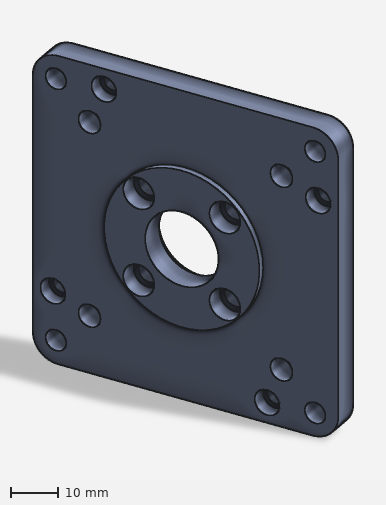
import cadquery as cq

plate_side = 75.0
plate_thickness = 6.4
corner_radius = 6.3

boss_diameter = 38.1
boss_height = 1.6
bore_diameter = 18.0
back_recess_diameter = 20.5
back_recess_depth = 2.0

corner_hole_offset = 31.8
corner_hole_diameter = 5.0
inner_hole_offset = 23.55
inner_hole_diameter = 5.4

boss_hole_offset = 10.6
boss_hole_diameter = 5.0
boss_counterbore_diameter = 7.6
boss_counterbore_depth = 4.35

edge_hole_along = 20.0
edge_hole_out = 32.55
edge_hole_diameter = 3.8
edge_counterbore_diameter = 6.1
edge_counterbore_depth = 3.5

plate_front_y = 0.0
boss_front_y = plate_front_y - boss_height
total_depth = plate_thickness + boss_height


def cylinders(points, diameter, front_y, depth):
    """Cylinders running from front_y toward +Y, centered on (x, z) points."""
    return (
        cq.Workplane("XZ", origin=(0, front_y, 0))
        .pushPoints(points)
        .circle(diameter / 2)
        .extrude(-depth)
    )


def quarter_turns(x, z):
    """The point (x, z) and its copies turned by 90, 180 and 270 degrees."""
    return [(x, z), (-z, x), (-x, -z), (z, -x)]


center = [(0, 0)]
corner_points = quarter_turns(corner_hole_offset, corner_hole_offset)
inner_points = quarter_turns(inner_hole_offset, inner_hole_offset)
boss_points = quarter_turns(boss_hole_offset, boss_hole_offset)
edge_points = quarter_turns(-edge_hole_along, edge_hole_out)

plate = (
    cq.Workplane("XZ", origin=(0, plate_front_y, 0))
    .rect(plate_side, plate_side)
    .extrude(-plate_thickness)
    .edges("|Y")
    .fillet(corner_radius)
)
result = plate.union(cylinders(center, boss_diameter, boss_front_y, total_depth))

for points, diameter in [
    (center, bore_diameter),
    (corner_points, corner_hole_diameter),
    (inner_points, inner_hole_diameter),
    (boss_points, boss_hole_diameter),
    (edge_points, edge_hole_diameter),
]:
    result = result.cut(cylinders(points, diameter, boss_front_y, total_depth))

result = result.cut(
    cylinders(boss_points, boss_counterbore_diameter, boss_front_y, boss_counterbore_depth)
)
result = result.cut(
    cylinders(edge_points, edge_counterbore_diameter, plate_front_y, edge_counterbore_depth)
)

back_recess_floor_y = plate_front_y + plate_thickness - back_recess_depth
result = result.cut(
    cylinders(center, back_recess_diameter, back_recess_floor_y, back_recess_depth)
)